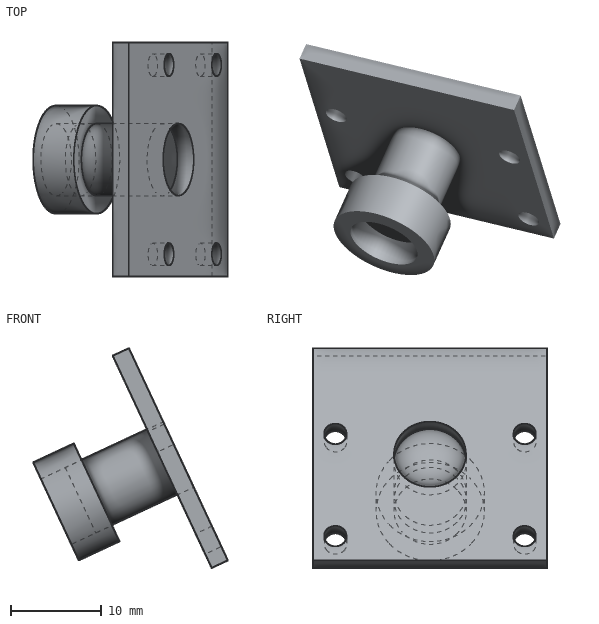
import cadquery as cq
import math

tilt = 25.0
plate_side = 26.0
plate_thickness = 2.0
shaft_diameter = 8.0
shaft_exposed_length = 8.0
collar_diameter = 12.0
collar_length = 5.0
collar_recess_depth = 3.0

screw_diameter = 2.5
screw_side_margin = 2.5
screw_bottom_margin = 3.0
screw_row_spacing = 12.5

collar_start = -shaft_exposed_length
collar_end = collar_start - collar_length
shaft_end = collar_end + collar_recess_depth

axis_direction = (math.cos(math.radians(tilt)), 0, math.sin(math.radians(tilt)))


def tilted_plane(distance):
    """Workplane square to the shaft axis; local x is Y, local y runs up the plate."""
    origin = tuple(distance * component for component in axis_direction)
    return cq.Workplane(cq.Plane(origin=origin, xDir=(0, 1, 0), normal=axis_direction))


def make_plate():
    """Square plate with a central bore and four screw holes."""
    screw_y = plate_side / 2 - screw_side_margin
    lower_row = -plate_side / 2 + screw_bottom_margin
    rows = (lower_row, lower_row + screw_row_spacing)
    screw_points = [(side * screw_y, row) for side in (-1, 1) for row in rows]

    blank = tilted_plane(0).rect(plate_side, plate_side).extrude(plate_thickness)
    bore = tilted_plane(0).circle(shaft_diameter / 2).extrude(plate_thickness)
    screw_holes = (
        tilted_plane(0)
        .pushPoints(screw_points)
        .circle(screw_diameter / 2)
        .extrude(plate_thickness)
    )
    return blank.cut(bore).cut(screw_holes)


def make_shaft():
    """Solid shaft from the plate's back face into the collar bore."""
    return tilted_plane(shaft_end).circle(shaft_diameter / 2).extrude(-shaft_end)


def make_collar():
    """Ring around the shaft tip, reaching past it to leave a round recess."""
    return (
        tilted_plane(collar_end)
        .circle(collar_diameter / 2)
        .circle(shaft_diameter / 2)
        .extrude(collar_length)
    )


plate = make_plate()
shaft = make_shaft()
collar = make_collar()

result = cq.Compound.makeCompound([plate.val(), shaft.val(), collar.val()])